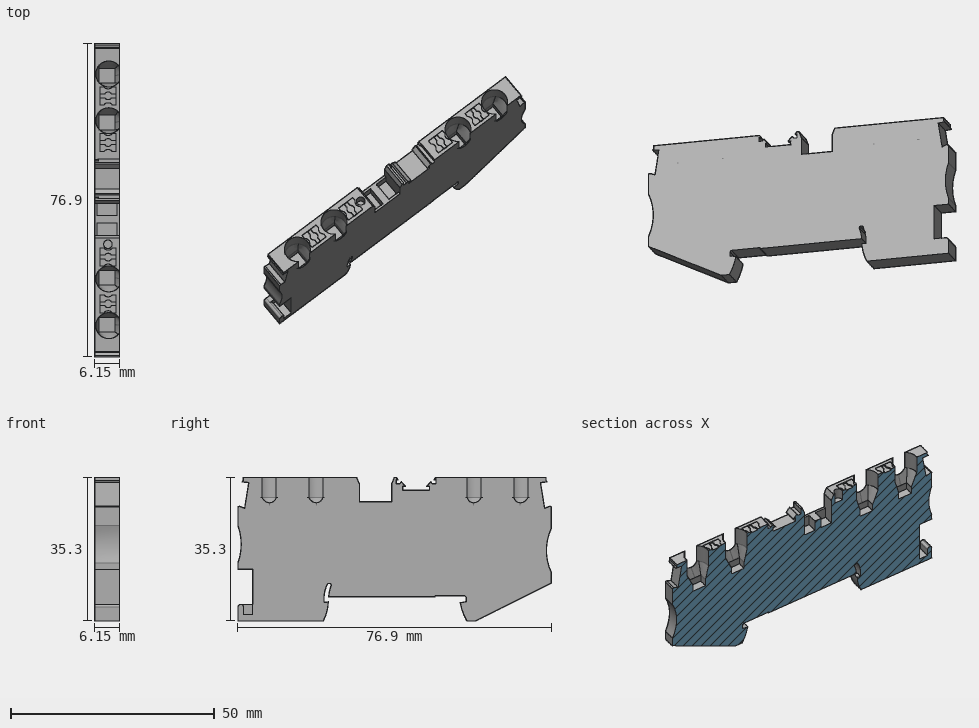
import cadquery as cq

WIDTH = 6.15
LENGTH = 76.9
HEIGHT = 35.25
HALF_LENGTH = LENGTH / 2

LIP_Y = 37.15
LIP_FACE_BOTTOM_Z = 34.5
LIP_TIP_Y = 37.4
LIP_TIP_Z = 34.1
NECK_TOP = (35.8, 33.95)
NECK_BOTTOM = (36.8, 27.7)
SHOULDER_INNER = (38.1, 28.2)
SHOULDER_Z = 28.0

BACK_GRIP_TOP_Z = 22.75
BACK_GRIP_BOTTOM_Z = 11.9
BACK_GRIP_DEPTH = 1.2
FRONT_GRIP_TOP_Z = 23.4
FRONT_GRIP_BOTTOM_Z = 14.3
FRONT_GRIP_DEPTH = 0.8

END_RECESS_DEPTH = 3.65
END_RECESS_TOP_Z = 12.7
END_RECESS_BOTTOM_Z = 4.1
END_RECESS_ROUND = 0.7

FRONT_LIP_THICKNESS = 1.35
TROUGH_DEPTH = 2.5
TROUGH_WALL = 1.5
LIP_BACK_ROUND = 0.6

RAIL_Z = 5.95
RAIL_RELIEF_Z = 6.2
RAIL_RELIEF_END_Y = 9.9
SLOPE_TOP_Z = 9.3
BACK_FOOT_OUTER_Y = 19.8
BACK_FOOT_INNER_Y = 17.7
BACK_HOOK_TIP = (16.05, 4.5)
BACK_HOOK_FLANK = (16.7, 2.15)
BACK_HOOK_ROOT = (17.55, 4.8)
BACK_HOOK_CHAMFER = 0.35
FRONT_FOOT_INNER_Y = -17.5
FRONT_HOOK_TIP = (-16.25, 4.75)
FRONT_HOOK_FLANK = (-16.65, 2.1)
FRONT_HOOK_ROOT = (-17.25, 4.6)
SPRING_SLOT_MOUTH_Y = -16.2
SPRING_SLOT_INNER_SIDE = (-16.05, 7.1)
SPRING_SLOT_INNER_TOP = (-15.55, 8.8)
SPRING_SLOT_TOP_Z = 9.2
SPRING_SLOT_TOP_INNER_Y = -15.75
SPRING_SLOT_TOP_OUTER_Y = -16.4
SPRING_SLOT_OUTER_SIDE = (-17.05, 7.5)

MARKER_MIDDLE_Y = 5.25
MARKER_FLOOR_Z = 32.1
MARKER_FLOOR_HALF = 3.25
LEDGE_HALF = 2.55
LEDGE_Z = 33.05
TOOTH_HALF = 3.62
TOOTH_Z = 34.2
TOOTH_FOOT_HALF = 4.0
CATCH_HALF = 4.85
CATCH_FLOOR_Z = 33.7
CATCH_TIP_HALF = 4.4
CATCH_TIP_Z = 34.65
CATCH_TOP_HALF = 4.75
CATCH_WIDTH = 0.95

SHAFT_BACK_Y = -0.75
SHAFT_FRONT_Y = -8.6
SHAFT_FLOOR_Z = 29.3
SHAFT_LEAD_IN_Z = 33.6
SHAFT_BACK_TOP_Y = -0.1
SHAFT_FRONT_TOP_Y = -9.3
BRIDGE_POCKET_WIDTH = 4.95
BRIDGE_POCKET_LENGTH = 3.0
BRIDGE_POCKET_DEPTH = 3.0

ENTRY_X = 0.4
ENTRY_RADIUS = 3.18
ENTRY_BORE_DEPTH = 5.0
FUNNEL_DEPTH = 4.0
THROAT_WIDTH = 3.9
THROAT_LENGTH = 3.6
THROAT_DEPTH = 2.0
BACK_ENTRIES_Y = (30.95, 19.5)
FRONT_ENTRIES_Y = (-19.3, -30.75)
BACK_THROAT_SHIFT = -0.45
FRONT_THROAT_SHIFT = 0.25

BUTTON_X = 0.25
BUTTON_WIDTH = 3.95
BUTTON_LENGTH = 4.4
BUTTON_SINK = 0.1
BUTTON_NOTCH_RADIUS = 1.25
BUTTON_NOTCH_REACH = 0.5
DRIVER_SLOT_WIDTH = 0.95
DRIVER_SLOT_RADIUS = 0.95
DRIVER_SLOT_DEPTH = 0.45
BUTTON_OFFSET = 5.35

TEST_HOLE_Y = -10.8
TEST_HOLE_X = 0.2
TEST_HOLE_RADIUS = 1.05
TEST_HOLE_DEPTH = 3.0


def end_points(side):
    """Outline from the top lip down to the shoulder; side is +1 (back) or -1 (front)."""
    points = [
        (LIP_Y, HEIGHT),
        (LIP_Y, LIP_FACE_BOTTOM_Z),
        (LIP_TIP_Y, LIP_TIP_Z),
        NECK_TOP,
        NECK_BOTTOM,
        SHOULDER_INNER,
        (HALF_LENGTH, SHOULDER_Z),
    ]
    return [(side * y, z) for y, z in points]


def marker_points():
    """Outline of the marker groove, from its back rim to its front rim."""
    half = [
        (CATCH_HALF, HEIGHT),
        (CATCH_HALF, CATCH_FLOOR_Z),
        (TOOTH_FOOT_HALF, CATCH_FLOOR_Z),
        (TOOTH_HALF, TOOTH_Z),
        (LEDGE_HALF, LEDGE_Z),
        (MARKER_FLOOR_HALF, LEDGE_Z),
        (MARKER_FLOOR_HALF, MARKER_FLOOR_Z),
    ]
    back = [(MARKER_MIDDLE_Y + d, z) for d, z in half]
    front = [(MARKER_MIDDLE_Y - d, z) for d, z in reversed(half)]
    return back + front


def shaft_points():
    """Outline of the bridge shaft, from its back rim to its front rim."""
    return [
        (SHAFT_BACK_TOP_Y, HEIGHT),
        (SHAFT_BACK_Y, SHAFT_LEAD_IN_Z),
        (SHAFT_BACK_Y, SHAFT_FLOOR_Z),
        (SHAFT_FRONT_Y, SHAFT_FLOOR_Z),
        (SHAFT_FRONT_Y, SHAFT_LEAD_IN_Z),
        (SHAFT_FRONT_TOP_Y, HEIGHT),
    ]


def add_lines(sketch, points):
    """Continue an open outline with straight lines through the points."""
    for point in points:
        sketch = sketch.lineTo(*point)
    return sketch


def make_body():
    """Side outline in the YZ plane, extruded over the full width."""
    back_end = end_points(1)
    outline = cq.Workplane("YZ").workplane(offset=-WIDTH / 2).moveTo(*back_end[0])

    outline = add_lines(outline, marker_points() + shaft_points() + end_points(-1))
    outline = outline.lineTo(-HALF_LENGTH, FRONT_GRIP_TOP_Z)
    front_grip_middle = (
        FRONT_GRIP_DEPTH - HALF_LENGTH,
        (FRONT_GRIP_TOP_Z + FRONT_GRIP_BOTTOM_Z) / 2,
    )
    outline = outline.threePointArc(front_grip_middle, (-HALF_LENGTH, FRONT_GRIP_BOTTOM_Z))

    recess_y = END_RECESS_DEPTH - HALF_LENGTH
    outline = add_lines(outline, [
        (-HALF_LENGTH, END_RECESS_TOP_Z),
        (recess_y, END_RECESS_TOP_Z),
        (recess_y, END_RECESS_BOTTOM_Z),
        (END_RECESS_ROUND - HALF_LENGTH, END_RECESS_BOTTOM_Z),
    ])
    outline = outline.tangentArcPoint(
        (-HALF_LENGTH, END_RECESS_BOTTOM_Z - END_RECESS_ROUND), relative=False
    )

    outline = add_lines(outline, [(-HALF_LENGTH, 0), (FRONT_FOOT_INNER_Y, 0)])
    outline = outline.threePointArc(FRONT_HOOK_FLANK, FRONT_HOOK_TIP)
    outline = outline.lineTo(*FRONT_HOOK_ROOT)
    outline = outline.threePointArc(
        SPRING_SLOT_OUTER_SIDE, (SPRING_SLOT_TOP_OUTER_Y, SPRING_SLOT_TOP_Z)
    )
    outline = add_lines(outline, [
        (SPRING_SLOT_TOP_INNER_Y, SPRING_SLOT_TOP_Z),
        SPRING_SLOT_INNER_TOP,
    ])
    outline = outline.threePointArc(SPRING_SLOT_INNER_SIDE, (SPRING_SLOT_MOUTH_Y, RAIL_Z))

    root_y = BACK_HOOK_ROOT[0]
    outline = add_lines(outline, [
        (RAIL_RELIEF_END_Y, RAIL_Z),
        (RAIL_RELIEF_END_Y, RAIL_RELIEF_Z),
        (root_y - BACK_HOOK_CHAMFER, RAIL_RELIEF_Z),
        (root_y, RAIL_RELIEF_Z - BACK_HOOK_CHAMFER),
        BACK_HOOK_ROOT,
        BACK_HOOK_TIP,
    ])
    outline = outline.threePointArc(BACK_HOOK_FLANK, (BACK_FOOT_INNER_Y, 0))

    outline = add_lines(outline, [
        (BACK_FOOT_OUTER_Y, 0),
        (HALF_LENGTH, SLOPE_TOP_Z),
        (HALF_LENGTH, BACK_GRIP_BOTTOM_Z),
    ])
    back_grip_middle = (
        HALF_LENGTH - BACK_GRIP_DEPTH,
        (BACK_GRIP_TOP_Z + BACK_GRIP_BOTTOM_Z) / 2,
    )
    outline = outline.threePointArc(back_grip_middle, (HALF_LENGTH, BACK_GRIP_TOP_Z))
    outline = add_lines(outline, reversed(back_end[1:]))
    return outline.close().extrude(WIDTH)


def box_down(x, y, top_z, width, length, depth):
    """Box centred on (x, y) that reaches from top_z down by depth."""
    return (
        cq.Workplane("XY", origin=(x, y, top_z))
        .rect(width, length)
        .extrude(-depth)
    )


def cylinder_down(x, y, top_z, radius, depth):
    """Vertical cylinder centred on (x, y) that reaches from top_z down by depth."""
    return cq.Workplane("XY", origin=(x, y, top_z)).circle(radius).extrude(-depth)


def wire_entry(y, throat_shift):
    """Cutter for one wire entry; its bore breaks through the +X side."""
    funnel_top_z = HEIGHT - ENTRY_BORE_DEPTH
    throat_z = funnel_top_z - FUNNEL_DEPTH
    throat_y = y + throat_shift
    bore = cylinder_down(ENTRY_X, y, HEIGHT, ENTRY_RADIUS, ENTRY_BORE_DEPTH)
    funnel = (
        cq.Workplane("XY", origin=(0, 0, funnel_top_z))
        .center(ENTRY_X, y)
        .circle(ENTRY_RADIUS)
        .workplane(offset=-FUNNEL_DEPTH)
        .center(-ENTRY_X, throat_shift)
        .rect(THROAT_WIDTH, THROAT_LENGTH)
        .loft(ruled=True)
    )
    throat = box_down(0, throat_y, throat_z, THROAT_WIDTH, THROAT_LENGTH, THROAT_DEPTH)
    return bore.union(funnel).union(throat)


def release_button(y):
    """Cutter for one release button: sunk pad with notched ends and a driver slot."""
    pad = box_down(BUTTON_X, y, HEIGHT, BUTTON_WIDTH, BUTTON_LENGTH, BUTTON_SINK)
    notch_offset = BUTTON_LENGTH / 2 - BUTTON_NOTCH_REACH + BUTTON_NOTCH_RADIUS
    for side in (1, -1):
        notch_y = y + side * notch_offset
        pad = pad.cut(cylinder_down(BUTTON_X, notch_y, HEIGHT, BUTTON_NOTCH_RADIUS, BUTTON_SINK))
    slot = box_down(BUTTON_X, y, HEIGHT, BUTTON_WIDTH, DRIVER_SLOT_WIDTH, DRIVER_SLOT_DEPTH)
    centre = cylinder_down(BUTTON_X, y, HEIGHT, DRIVER_SLOT_RADIUS, DRIVER_SLOT_DEPTH)
    return pad.union(slot).union(centre)


def bridge_pocket(middle_y):
    """Cutter for one rectangular pocket in the floor of the bridge shaft."""
    return box_down(
        0, middle_y, SHAFT_FLOOR_Z, BRIDGE_POCKET_WIDTH, BRIDGE_POCKET_LENGTH, BRIDGE_POCKET_DEPTH
    )


def marker_catch(side):
    """Small nub at the -X end of a marker groove rim; side is +1 (back) or -1 (front)."""
    profile = [
        (CATCH_HALF, HEIGHT),
        (CATCH_TOP_HALF, HEIGHT),
        (CATCH_TIP_HALF, CATCH_TIP_Z),
        (CATCH_HALF, CATCH_TIP_Z),
    ]
    points = [(MARKER_MIDDLE_Y + side * d, z) for d, z in profile]
    return cq.Workplane("YZ").workplane(offset=-WIDTH / 2).polyline(points).close().extrude(CATCH_WIDTH)


def lip_trough():
    """Cutter for the trough between the front lip and the end recess wall."""
    trough_length = END_RECESS_DEPTH - FRONT_LIP_THICKNESS
    trough_width = WIDTH - TROUGH_WALL
    return box_down(
        TROUGH_WALL / 2,
        FRONT_LIP_THICKNESS - HALF_LENGTH + trough_length / 2,
        END_RECESS_BOTTOM_Z,
        trough_width,
        trough_length,
        TROUGH_DEPTH,
    )


def round_lip_back(body):
    """Round the upper edge of the front lip that faces the trough."""
    edge_middle = (TROUGH_WALL / 2, FRONT_LIP_THICKNESS - HALF_LENGTH, END_RECESS_BOTTOM_Z)
    return body.edges(cq.NearestToPointSelector(edge_middle)).fillet(LIP_BACK_ROUND)


result = round_lip_back(make_body().cut(lip_trough()))
for rim in (1, -1):
    result = result.union(marker_catch(rim))

for entry_y in BACK_ENTRIES_Y:
    result = result.cut(wire_entry(entry_y, BACK_THROAT_SHIFT))
    result = result.cut(release_button(entry_y - BUTTON_OFFSET))
for entry_y in FRONT_ENTRIES_Y:
    result = result.cut(wire_entry(entry_y, FRONT_THROAT_SHIFT))
    result = result.cut(release_button(entry_y + BUTTON_OFFSET))

result = result.cut(bridge_pocket(SHAFT_BACK_Y - BRIDGE_POCKET_LENGTH / 2))
result = result.cut(bridge_pocket(SHAFT_FRONT_Y + BRIDGE_POCKET_LENGTH / 2))

test_hole = cylinder_down(TEST_HOLE_X, TEST_HOLE_Y, HEIGHT, TEST_HOLE_RADIUS, TEST_HOLE_DEPTH)
result = result.cut(test_hole)